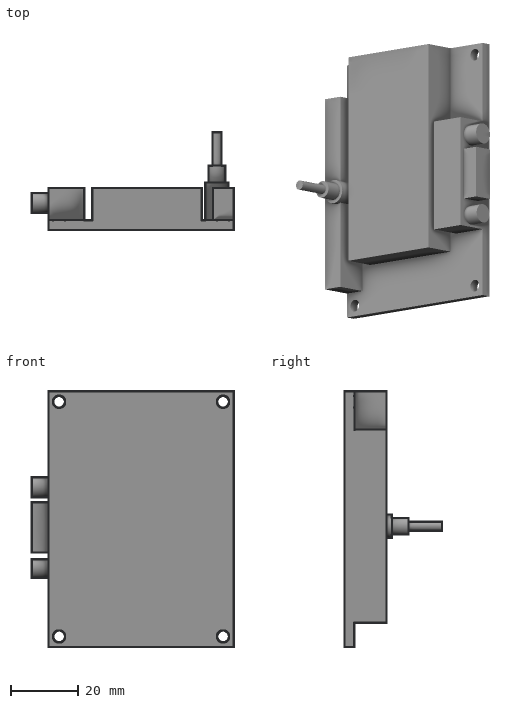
import cadquery as cq

plate_width = 55.0
plate_height = 76.0
plate_thickness = 3.0
hole_diameter = 3.5
corner_inset = 3.2
hole_left_x = corner_inset
hole_right_x = plate_width - corner_inset

block_depth = 9.6
left_block_width = 10.7
left_block_bottom = 19.8
left_block_top = 52.4
center_block_left = 13.0
center_block_right = 45.5
center_block_bottom = 14.7
right_block_left = 48.8
right_block_bottom = 7.2

connector_length = 4.95
connector_y = 8.05
upper_plug_z = 47.4
upper_plug_diameter = 6.0
lower_plug_z = 23.3
lower_plug_diameter = 5.55
socket_thickness = 6.0
socket_bottom = 28.05
socket_top = 43.0

shaft_x = 50.0
shaft_z = 35.9
base_diameter = 7.0
base_end = 14.1
collar_diameter = 5.0
collar_end = 19.1
tip_diameter = 2.7
tip_end = 29.0

right_block_top = 2 * shaft_z - right_block_bottom


def box_between(x_range, y_range, z_range):
    """Box given by its low and high limits along each axis."""
    low, high = zip(x_range, y_range, z_range)
    size = [end - start for start, end in zip(low, high)]
    return cq.Workplane("XY").box(*size, centered=False).translate(low)


def cylinder_along_y(x, z, diameter, y_start, y_end):
    """Round bar parallel to Y."""
    return cq.Workplane(
        cq.Solid.makeCylinder(
            diameter / 2, y_end - y_start, cq.Vector(x, y_start, z), cq.Vector(0, 1, 0)
        )
    )


def make_plate():
    """Rectangular plate with a mounting hole near each corner."""
    plate = box_between((0, plate_width), (0, plate_thickness), (0, plate_height))
    for x in (hole_left_x, hole_right_x):
        for z in (corner_inset, plate_height - corner_inset):
            plate = plate.cut(cylinder_along_y(x, z, hole_diameter, 0, plate_thickness))
    return plate


def make_block(x_range, z_range):
    """Block rising from the inner face of the plate."""
    return box_between(x_range, (plate_thickness, plate_thickness + block_depth), z_range)


def make_plug(z, diameter):
    """Round connector pointing toward -X from the left block."""
    return cq.Workplane(
        cq.Solid.makeCylinder(
            diameter / 2, connector_length, cq.Vector(0, connector_y, z), cq.Vector(-1, 0, 0)
        )
    )


def make_socket():
    """Rectangular connector between the two plugs."""
    y_range = (connector_y - socket_thickness / 2, connector_y + socket_thickness / 2)
    return box_between((-connector_length, 0), y_range, (socket_bottom, socket_top))


def make_shaft():
    """Base, collar and tip, each narrower than the one before."""
    base = cylinder_along_y(shaft_x, shaft_z, base_diameter, plate_thickness, base_end)
    collar = cylinder_along_y(shaft_x, shaft_z, collar_diameter, base_end, collar_end)
    tip = cylinder_along_y(shaft_x, shaft_z, tip_diameter, collar_end, tip_end)
    return base.union(collar).union(tip)


def make_housing(shaft):
    """Plate with blocks and connectors, recessed where the shaft enters the right block."""
    housing = make_plate()
    housing = housing.union(make_block((0, left_block_width), (left_block_bottom, left_block_top)))
    housing = housing.union(
        make_block((center_block_left, center_block_right), (center_block_bottom, plate_height))
    )
    housing = housing.union(
        make_block((right_block_left, plate_width), (right_block_bottom, right_block_top))
    )
    housing = housing.union(make_plug(upper_plug_z, upper_plug_diameter))
    housing = housing.union(make_plug(lower_plug_z, lower_plug_diameter))
    housing = housing.union(make_socket())
    return housing.cut(shaft)


shaft = make_shaft()
housing = make_housing(shaft)

result = cq.Compound.makeCompound([housing.solids().val(), shaft.solids().val()])